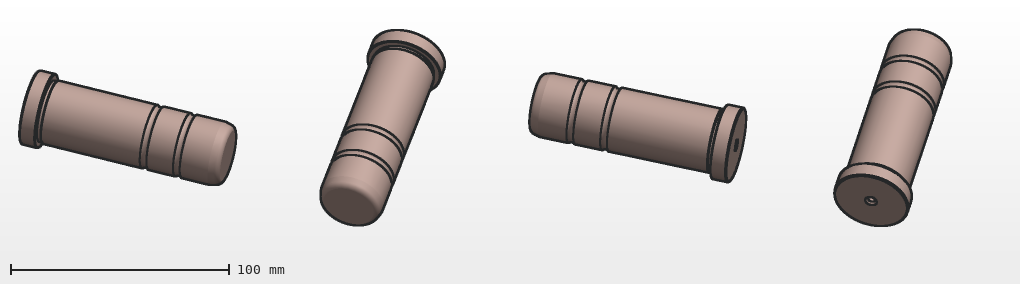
import cadquery as cq
import math

length = 95.0
pin_radius = 15.0

head_radius = 17.5
head_length = 7.7
face_chamfer = 0.5
shoulder_chamfer = 0.3

relief_length = 1.8
relief_radius = 14.5
shank_chamfer = 0.3

groove_positions = (57.3, 73.3)
wide_flank = 1.7
narrow_flank = 1.5
groove_depth = 0.75

taper_length = 2.85
taper_angle = 15.0
nose_length = 5.0
end_radius = 12.0

countersink_radius = 2.75
bore_radius = 1.6
countersink_angle = 90.0
bore_depth = 5.0
drill_point_angle = 120.0


def pin_body():
    """Revolved head, relief and shank, ending in the rounded nose."""
    shank_start = head_length + relief_length
    taper_start = length - nose_length
    taper_end = taper_start + taper_length
    slope = math.radians(taper_angle)
    taper_end_radius = pin_radius - taper_length * math.tan(slope)
    profile = (
        cq.Workplane("XY")
        .lineTo(0, head_radius - face_chamfer)
        .lineTo(face_chamfer, head_radius)
        .lineTo(head_length - shoulder_chamfer, head_radius)
        .lineTo(head_length, head_radius - shoulder_chamfer)
        .lineTo(head_length, relief_radius)
        .lineTo(shank_start, relief_radius)
        .lineTo(shank_start, pin_radius - shank_chamfer)
        .lineTo(shank_start + shank_chamfer, pin_radius)
        .lineTo(taper_start, pin_radius)
        .lineTo(taper_end, taper_end_radius)
        .tangentArcPoint((length, end_radius), relative=False)
        .lineTo(length, 0)
        .close()
    )
    return profile.revolve(360, (0, 0, 0), (1, 0, 0))


def groove_ring(start):
    """Ring with a two-arc section that cuts one lubrication groove."""
    bottom = start + wide_flank
    end = bottom + narrow_flank
    wide_arc_radius = (wide_flank**2 + groove_depth**2) / (2 * groove_depth)
    narrow_arc_radius = (narrow_flank**2 + groove_depth**2) / (2 * groove_depth)
    section = (
        cq.Workplane("XY")
        .moveTo(start, pin_radius)
        .radiusArc((bottom, pin_radius - groove_depth), -wide_arc_radius)
        .radiusArc((end, pin_radius), -narrow_arc_radius)
        .lineTo(end, head_radius)
        .lineTo(start, head_radius)
        .close()
    )
    return section.revolve(360, (0, 0, 0), (1, 0, 0))


def centre_hole():
    """Countersunk blind hole with a conical bottom."""
    countersink_slope = math.tan(math.radians(countersink_angle / 2))
    countersink_depth = (countersink_radius - bore_radius) / countersink_slope
    point_depth = bore_radius / math.tan(math.radians(drill_point_angle / 2))
    profile = (
        cq.Workplane("XY")
        .lineTo(0, countersink_radius)
        .lineTo(countersink_depth, bore_radius)
        .lineTo(bore_depth, bore_radius)
        .lineTo(bore_depth + point_depth, 0)
        .close()
    )
    return profile.revolve(360, (0, 0, 0), (1, 0, 0))


result = pin_body()
for groove_start in groove_positions:
    result = result.cut(groove_ring(groove_start))
result = result.cut(centre_hole())